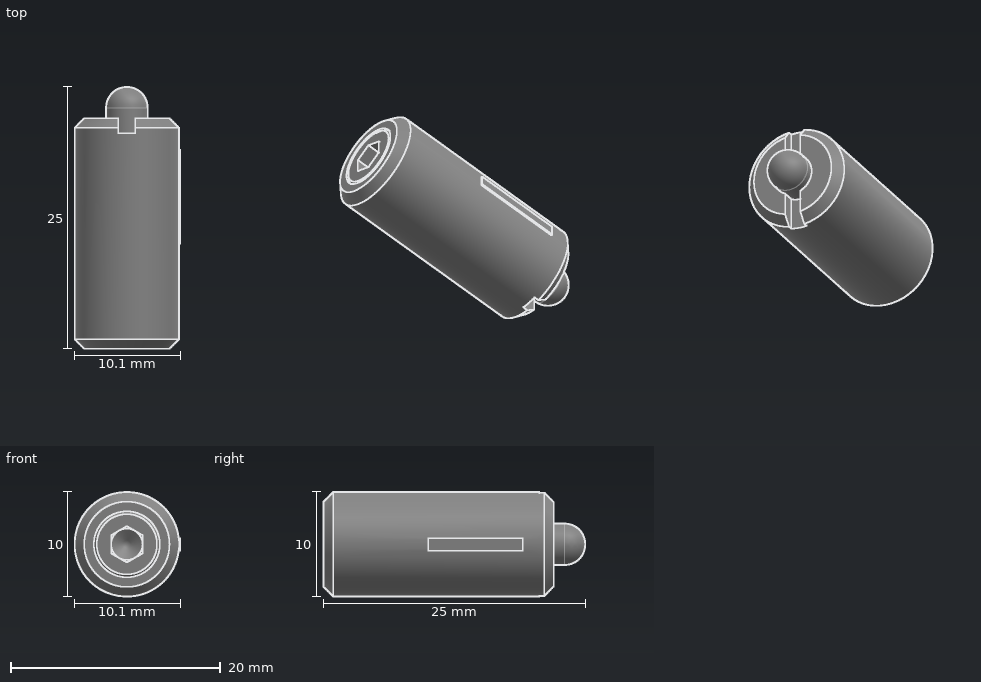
import cadquery as cq
import math

overall_length = 25.0
body_diameter = 10.0
pin_diameter = 4.0
pin_projection = 3.0
body_chamfer = 0.92

slot_width = 1.6
slot_depth = 1.42

bore_diameter = 6.3
plug_chamfer = 0.28

socket_across_flats = 3.0
socket_depth = 3.0
drill_point_angle = 120.0

patch_length = 9.0
patch_width = 1.2
patch_height = 0.1
patch_start = 10.0

body_radius = body_diameter / 2
pin_radius = pin_diameter / 2
bore_radius = bore_diameter / 2
body_length = overall_length - pin_projection


def make_body():
    """Cylinder along +Y, chamfered at both ends."""
    cylinder = cq.Workplane("XZ").circle(body_radius).extrude(-body_length)
    return cylinder.faces("<Y or >Y").chamfer(body_chamfer)


def make_patch():
    """Flat strip rooted in the body axis and ending just outside the +X side."""
    reach = body_radius + patch_height
    return (
        cq.Workplane("XY")
        .box(reach, patch_length, patch_width, centered=(False, False, True))
        .translate((0, patch_start, 0))
    )


def make_slot():
    """Slot across the body end, open at both Z sides."""
    return (
        cq.Workplane("XY")
        .box(slot_width, slot_depth, body_diameter, centered=(True, False, True))
        .translate((0, body_length - slot_depth, 0))
    )


def make_pin():
    """Pin rising from the slot floor and ending in a hemisphere."""
    dome_start = overall_length - pin_radius
    dome_middle = pin_radius * math.sqrt(0.5)
    return (
        cq.Workplane("XY")
        .moveTo(0, body_length - slot_depth)
        .lineTo(pin_radius, body_length - slot_depth)
        .lineTo(pin_radius, dome_start)
        .threePointArc((dome_middle, dome_start + dome_middle), (0, overall_length))
        .close()
        .revolve(360, (0, 0), (0, 1))
    )


def make_plug_groove():
    """V-shaped ring between the bore wall and the chamfer of the plug."""
    return (
        cq.Workplane("XY")
        .moveTo(bore_radius - plug_chamfer, 0)
        .lineTo(bore_radius, 0)
        .lineTo(bore_radius, plug_chamfer)
        .close()
        .revolve(360, (0, 0), (0, 1))
    )


def make_socket():
    """Hexagon with two flats facing X, followed by a cone touching the flats."""
    across_corners = socket_across_flats / math.cos(math.radians(30))
    cone_radius = socket_across_flats / 2
    cone_depth = cone_radius / math.tan(math.radians(drill_point_angle / 2))
    hexagon = (
        cq.Workplane("XZ")
        .transformed(rotate=(0, 0, 30))
        .polygon(6, across_corners)
        .extrude(-socket_depth)
    )
    cone = (
        cq.Workplane("XY")
        .moveTo(0, socket_depth)
        .lineTo(cone_radius, socket_depth)
        .lineTo(0, socket_depth + cone_depth)
        .close()
        .revolve(360, (0, 0), (0, 1))
    )
    return hexagon.union(cone)


result = (
    make_body()
    .union(make_patch())
    .cut(make_slot())
    .union(make_pin())
    .cut(make_plug_groove())
    .cut(make_socket())
)